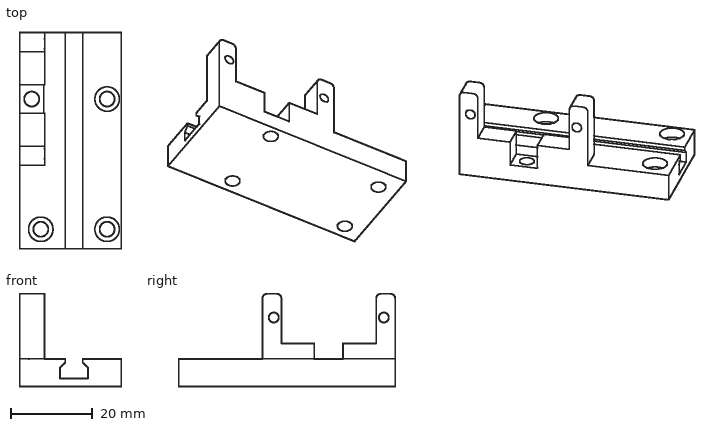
import cadquery as cq

width = 25.0
length = 53.15
base_height = 6.8

groove_center = 13.35
groove_opening = 4.2
groove_width = 6.8
groove_floor = 2.0
groove_shoulder = 4.7
lip_bottom = 5.9

wall_width = 6.1
wall_height = 10.65
total_height = 22.8
wall_length = 32.65
post_depth = 4.75
post_round = 1.2
pin_diameter = 2.4
pin_height = 16.95
pin_from_wall_end = 2.8

pocket_width = 5.95
pocket_length = 6.95
pocket_floor = 4.3

screw_diameter = 3.6
counterbore_diameter = 6.0
counterbore_depth = 2.5
pocket_hole_x = 3.0
left_hole_x = 5.2
right_hole_x = 21.45
front_hole_y = 4.85
back_hole_y = 36.8

wall_front = length - wall_length


def block(x_size, y_size, z_size, x=0, y=0, z=0):
    """Box with its lowest corner at the given place."""
    return cq.Workplane("XY").box(x_size, y_size, z_size, centered=False).translate((x, y, z))


def vertical_hole(diameter, x, y, bottom=0):
    """Cutter from the given level up past the top of the part."""
    return cq.Workplane("XY", origin=(x, y, bottom)).circle(diameter / 2).extrude(total_height)


def post(front, pin_y):
    """Post with rounded top edges and a cross hole for a pin."""
    body = block(wall_width, post_depth, total_height, y=front)
    body = body.edges("|X and >Z").fillet(post_round)
    pin_hole = (
        cq.Workplane("YZ")
        .center(pin_y, pin_height)
        .circle(pin_diameter / 2)
        .extrude(wall_width)
    )
    return body.cut(pin_hole)


def rail_groove():
    """Groove with a wide bottom and sloped undercuts below narrow lips."""
    half_opening = groove_opening / 2
    half_width = groove_width / 2
    right_side = [
        (half_width, groove_floor),
        (half_width, groove_shoulder),
        (half_opening, lip_bottom),
        (half_opening, base_height),
    ]
    left_side = [(-x, z) for x, z in reversed(right_side)]
    profile = cq.Workplane("XZ").polyline(right_side + left_side).close()
    return profile.extrude(-length).translate((groove_center, 0, 0))


result = block(width, length, base_height)
result = result.union(block(wall_width, wall_length, wall_height, y=wall_front))
result = result.union(post(wall_front, wall_front + pin_from_wall_end))
result = result.union(post(length - post_depth, length - pin_from_wall_end))

result = result.cut(rail_groove())

pocket_front = back_hole_y - pocket_length / 2
result = result.cut(block(wall_width, pocket_length, total_height, y=pocket_front, z=base_height))
result = result.cut(
    block(pocket_width, pocket_length, total_height, y=pocket_front, z=pocket_floor)
)
result = result.cut(vertical_hole(screw_diameter, pocket_hole_x, back_hole_y))

counterbored_holes = [
    (left_hole_x, front_hole_y),
    (right_hole_x, front_hole_y),
    (right_hole_x, back_hole_y),
]
for x, y in counterbored_holes:
    result = result.cut(vertical_hole(screw_diameter, x, y))
    counterbore = vertical_hole(counterbore_diameter, x, y, base_height - counterbore_depth)
    result = result.cut(counterbore)